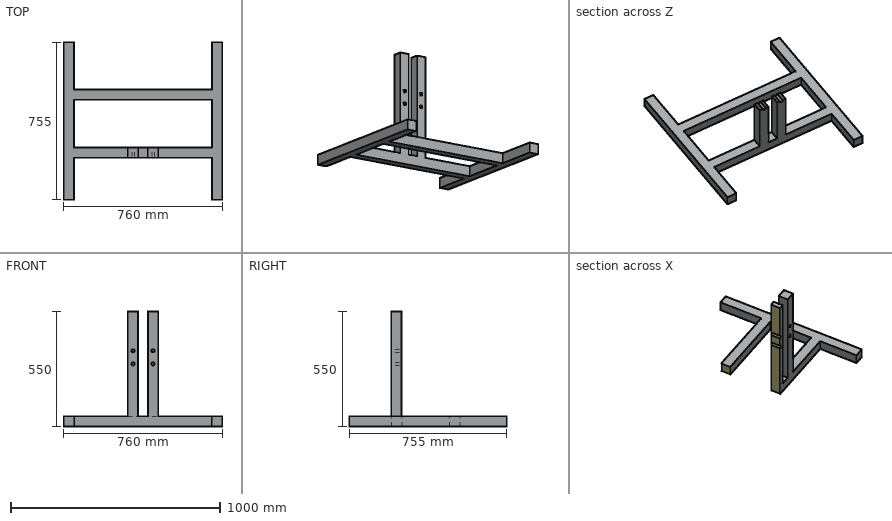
import cadquery as cq

width = 760.0
depth = 755.0
height = 550.0
tube = 50.0
post_gap = 47.0
front_bar_y = 201.5
rear_bar_y = 478.0
hole_diameter = 14.0
hole_pitch_x = 95.0
upper_hole_z = 362.5
hole_pitch_z = 63.0

post_offset = (post_gap + tube) / 2
post_centers = [width / 2 - post_offset, width / 2 + post_offset]


def bar(x, y, z, size_x, size_y, size_z):
    """Rectangular bar with its lowest corner at (x, y, z)."""
    return cq.Workplane("XY").box(size_x, size_y, size_z, centered=False).translate((x, y, z))


result = bar(0, 0, 0, tube, depth, tube)
result = result.union(bar(width - tube, 0, 0, tube, depth, tube))
for bar_y in (front_bar_y, rear_bar_y):
    result = result.union(bar(tube, bar_y, 0, width - 2 * tube, tube, tube))

for center_x in post_centers:
    result = result.union(bar(center_x - tube / 2, front_bar_y, tube, tube, tube, height - tube))

hole_points = [
    (hole_x, hole_z)
    for hole_x in (width / 2 - hole_pitch_x / 2, width / 2 + hole_pitch_x / 2)
    for hole_z in (upper_hole_z - hole_pitch_z, upper_hole_z)
]
holes = (
    cq.Workplane("XZ", origin=(0, front_bar_y, 0))
    .pushPoints(hole_points)
    .circle(hole_diameter / 2)
    .extrude(-tube)
)
result = result.cut(holes)